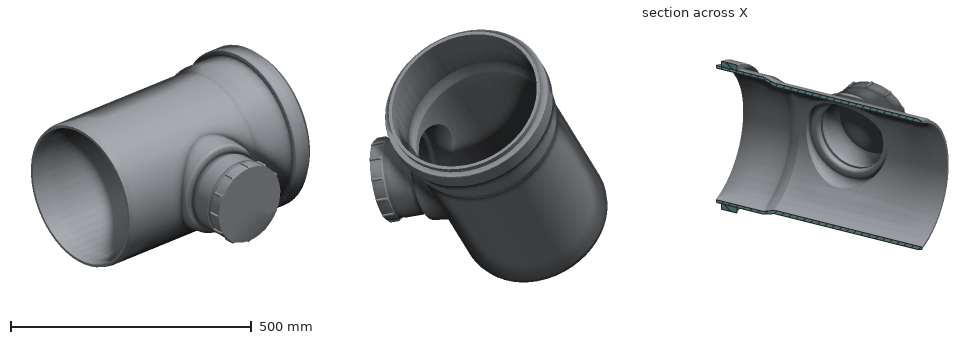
import cadquery as cq
import math


pipe_length = 491.0
branch_height = 240.0
spigot_y = -branch_height
socket_y = spigot_y + pipe_length
pipe_outer_radius = 315.6 / 2
pipe_bore_radius = 298.2 / 2
socket_outer_radius = 330.1 / 2
socket_bore_radius = 316.3 / 2
spigot_chamfer_length = 12.0
spigot_chamfer_depth = 3.0
flare_start_y = spigot_y + 352.0
flare_length = 26.0
flare_end_y = flare_start_y + flare_length

ring_outer_radius = 354.7 / 2
ring_width = 38.0
ring_edge_chamfer = 1.2
ring_setback = 12.5
ring_start_y = socket_y - ring_setback - ring_width

saddle_rim_x = 162.6
saddle_corner_radius = 8.0
saddle_end_x = saddle_rim_x + saddle_corner_radius
saddle_rim_radius = 99.0
saddle_draft = math.radians(8.0)
spigot_bore_radius = 96.0
step_end_x = 171.8
step_radius = 182.0 / 2
barrel_root_radius = 81.0
barrel_start_x = 186.8
barrel_end_x = 223.4
barrel_radius = 169.0 / 2
neck_radius = 165.0 / 2
branch_bore_radius = 152.0 / 2
step_inner_x = 164.0
bore_mouth_radius = 7.0
barrel_bore_start_x = 176.0
barrel_bore_radius = 160.0 / 2
cap_start_x = 231.7

overall_width = 437.0
cap_end_x = overall_width - ring_outer_radius
cap_wall = 5.0
plug_start_x = 184.0
cap_recess_radius = branch_bore_radius
cap_radius = 170.0 / 2
cap_back_chamfer = 2.5
rib_count = 12
rib_round_radius = 3.0
rib_axis_radius = 86.3
rib_tip_radius = rib_axis_radius + rib_round_radius
rib_chamfer = 3.5
rib_setback = 2.0


def turned_about_y(points):
    """Revolve a closed (radius, y) outline about the pipe axis."""
    return cq.Workplane("XY").polyline(points).close().revolve(360, (0, 0, 0), (0, 1, 0))


def turned_about_x(outline):
    """Revolve a closed (x, radius) outline about the branch axis."""
    return outline.close().revolve(360, (0, 0, 0), (1, 0, 0))


def saddle_radius_at(x):
    """Outer radius of the tapered saddle, which widens towards the pipe."""
    return saddle_rim_radius + (saddle_rim_x - x) * math.tan(saddle_draft)


def make_pipe():
    pipe = turned_about_y([
        (pipe_bore_radius, spigot_y),
        (pipe_outer_radius - spigot_chamfer_depth, spigot_y),
        (pipe_outer_radius, spigot_y + spigot_chamfer_length),
        (pipe_outer_radius, flare_start_y),
        (socket_outer_radius, flare_end_y),
        (socket_outer_radius, socket_y),
        (socket_bore_radius, socket_y),
        (socket_bore_radius, flare_end_y),
        (pipe_bore_radius, flare_start_y),
    ])
    branch_hole = cq.Workplane("YZ").circle(saddle_rim_radius).extrude(saddle_rim_x)
    return pipe.cut(branch_hole)


def make_ring():
    ring = (
        cq.Workplane("XZ", origin=(0, ring_start_y, 0))
        .circle(ring_outer_radius)
        .extrude(-ring_width)
        .faces("<Y or >Y").edges().chamfer(ring_edge_chamfer)
    )
    socket = cq.Workplane("XZ", origin=(0, ring_start_y, 0)).circle(socket_outer_radius).extrude(-ring_width)
    return ring.cut(socket)


def saddle_blank():
    """Solid tapered saddle from the pipe axis out to its rounded end."""
    inset = saddle_corner_radius * math.sqrt(0.5)
    return turned_about_x(
        cq.Workplane("XY")
        .moveTo(0, 0)
        .lineTo(0, saddle_radius_at(0))
        .lineTo(saddle_rim_x, saddle_rim_radius)
        .threePointArc(
            (saddle_rim_x + inset, saddle_rim_radius - saddle_corner_radius + inset),
            (saddle_end_x, saddle_rim_radius - saddle_corner_radius),
        )
        .lineTo(saddle_end_x, 0)
    )


def make_branch():
    barrel = turned_about_x(cq.Workplane("XY").polyline([
        (0, 0),
        (0, saddle_rim_radius),
        (saddle_rim_x, saddle_rim_radius),
        (saddle_rim_x, step_radius),
        (step_end_x, step_radius),
        (step_end_x, barrel_root_radius),
        (barrel_start_x, barrel_radius),
        (barrel_end_x, barrel_radius),
        (barrel_end_x, neck_radius),
        (cap_start_x, neck_radius),
        (cap_start_x, 0),
    ]))
    mouth_inset = bore_mouth_radius * (1 - math.sqrt(0.5))
    bore = turned_about_x(
        cq.Workplane("XY")
        .moveTo(0, 0)
        .lineTo(0, spigot_bore_radius)
        .lineTo(step_inner_x, spigot_bore_radius)
        .lineTo(step_inner_x, branch_bore_radius + bore_mouth_radius)
        .threePointArc(
            (step_inner_x + mouth_inset, branch_bore_radius + mouth_inset),
            (step_inner_x + bore_mouth_radius, branch_bore_radius),
        )
        .lineTo(barrel_bore_start_x, branch_bore_radius)
        .lineTo(barrel_bore_start_x, barrel_bore_radius)
        .lineTo(cap_start_x, barrel_bore_radius)
        .lineTo(cap_start_x, 0)
    )
    pipe_outside = cq.Workplane("XZ").circle(pipe_outer_radius).extrude(pipe_length, both=True)
    pipe_inside = cq.Workplane("XZ").circle(pipe_bore_radius).extrude(pipe_length, both=True)
    return saddle_blank().cut(pipe_outside).union(barrel.cut(pipe_inside)).cut(bore)


def make_cap():
    body = turned_about_x(cq.Workplane("XY").polyline([
        (cap_end_x - cap_wall, 0),
        (cap_end_x - cap_wall, cap_recess_radius),
        (plug_start_x, cap_recess_radius),
        (plug_start_x, barrel_bore_radius),
        (cap_start_x, barrel_bore_radius),
        (cap_start_x, cap_radius - cap_back_chamfer),
        (cap_start_x + cap_back_chamfer, cap_radius),
        (cap_end_x, cap_radius),
        (cap_end_x, 0),
    ]))
    rib_start_x = cap_start_x + rib_setback
    rib_end_envelope = turned_about_x(cq.Workplane("XY").polyline([
        (rib_start_x, 0),
        (rib_start_x, rib_tip_radius - rib_chamfer),
        (rib_start_x + rib_chamfer, rib_tip_radius),
        (cap_end_x - rib_chamfer, rib_tip_radius),
        (cap_end_x, rib_tip_radius - rib_chamfer),
        (cap_end_x, 0),
    ]))
    rib = (
        cq.Workplane("YZ", origin=(rib_start_x, rib_axis_radius, 0))
        .circle(rib_round_radius)
        .extrude(cap_end_x - rib_start_x)
        .intersect(rib_end_envelope)
    )
    for index in range(rib_count):
        body = body.union(rib.rotate((0, 0, 0), (1, 0, 0), index * 360 / rib_count))
    return body


pipe = make_pipe()
ring = make_ring()
branch = make_branch()
cap = make_cap()

result = cq.Compound.makeCompound([pipe.val(), ring.val(), branch.val(), cap.val()])